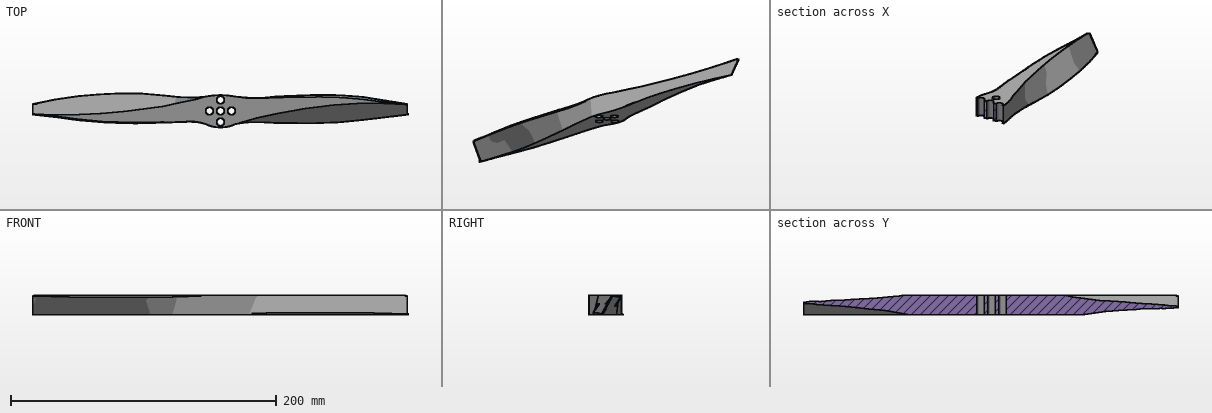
import cadquery as cq

HEIGHT = 15.0
TIP_X = 141.72
TIP_CHAMFER_LENGTH = 2.0
TIP_CHAMFER_HEIGHT = 1.0
RIGHT_TIP_STEP = 0.8
RIGHT_TIP_FOOT = 0.8
HUB_HALF_LENGTH = 11.4
HUB_FRONT_Y = -12.56
HUB_BACK_Y = 12.1
ROOT_FRONT_Y = -9.9
ROOT_BACK_Y = 10.9
HOLE_DIAMETER = 5.6
BOLT_PITCH_RADIUS = 8.3
BOLT_COUNT = 4
LIP = 1.7
LIP_END = 0.7
TRAILING_LIP = 0.4
FIRST_JOINT_X = 43.0
LAST_JOINT_X = 107.0

ROOT_SECTION = (
    HUB_HALF_LENGTH,
    ROOT_FRONT_Y, ROOT_FRONT_Y,
    ROOT_BACK_Y, ROOT_BACK_Y,
    ROOT_BACK_Y, ROOT_FRONT_Y,
)
LEFT_SECTIONS = (
    ROOT_SECTION,
    (19.0, -8.4, -8.0, 8.6, 10.2, 10.2, -7.6),
    (29.0, -8.4, -8.0, 6.6, 10.4, 10.4, -6.0),
    (FIRST_JOINT_X, -8.9, -8.3, 3.5, 11.7, 11.8, -3.8),
    (72.0, -9.4, -8.5, -0.3, 13.2, 13.42, 2.0),
    (90.0, -8.6, -7.9, -1.9, 12.5, 12.7, 4.5),
    (LAST_JOINT_X, -7.1, -6.2, -2.7, 11.1, 11.3, 6.4),
    (125.0, -4.6, -3.9, -2.9, 8.5, 8.7, 6.0),
    (TIP_X, -2.8, -2.7, -2.4, 5.1, 5.2, 4.9),
)
RIGHT_SECTIONS = (
    ROOT_SECTION,
    (20.0, -8.7, -7.2, 9.7, 10.1, 9.6, -8.6),
    (29.0, -8.5, -4.9, 9.5, 9.9, 8.0, -8.3),
    (FIRST_JOINT_X, -9.2, -1.9, 10.1, 11.1, 5.0, -8.5),
    (72.0, -9.3, 3.0, 10.6, 12.2, 0.0, -8.5),
    (90.0, -8.6, 4.9, 10.2, 12.0, -2.5, -8.0),
    (LAST_JOINT_X, -6.9, 5.9, 8.8, 10.7, -3.5, -6.3),
    (125.0, -4.6, 5.6, 6.5, 7.7, -3.0, -4.1),
    (TIP_X, -2.8, 4.8, 5.1, 5.2, -2.4, -2.7),
)


def lip_height(distance):
    """Full height between the panel joints, tapering to the root and the tip."""
    if distance < FIRST_JOINT_X:
        share = (distance - HUB_HALF_LENGTH) / (FIRST_JOINT_X - HUB_HALF_LENGTH)
    elif distance > LAST_JOINT_X:
        share = (TIP_X - distance) / (TIP_X - LAST_JOINT_X)
    else:
        share = 1.0
    return LIP_END + share * (LIP - LIP_END)


def section_wire(section, side, front_lip_z, back_lip_z):
    """Closed six-sided outline in the YZ plane at a section's X."""
    distance, front_lip, top_front, top_back, back_lip, bottom_back, bottom_front = section
    corners = (
        (front_lip, front_lip_z),
        (top_front, HEIGHT),
        (top_back, HEIGHT),
        (back_lip, back_lip_z),
        (bottom_back, 0),
        (bottom_front, 0),
    )
    points = [cq.Vector(side * distance, y, z) for y, z in corners]
    return cq.Wire.makePolygon(points, close=True)


def left_wire(section):
    """Left section: the tall lip hangs from the top face at the front."""
    return section_wire(section, -1, HEIGHT - lip_height(section[0]), TRAILING_LIP)


def right_wire(section):
    """Right section: one lip stands at the front bottom, one hangs at the back top."""
    lip = lip_height(section[0])
    return section_wire(section, 1, lip, HEIGHT - lip)


def blade(sections, make_wire):
    """One blade, lofted in panels that meet at the joints."""
    limits = (HUB_HALF_LENGTH, FIRST_JOINT_X, LAST_JOINT_X, TIP_X)
    panels = cq.Workplane()
    for inner, outer in zip(limits, limits[1:]):
        wires = [make_wire(section) for section in sections if inner <= section[0] <= outer]
        panels = panels.add(cq.Solid.makeLoft(wires))
    return panels.combine()


def tip_bevel(side, tip_x):
    """Cutter for the upper corner of a blade tip, as wide as the hub."""
    return (
        cq.Workplane("XZ", origin=(0, HUB_BACK_Y, 0))
        .moveTo(side * (tip_x - TIP_CHAMFER_LENGTH), HEIGHT)
        .lineTo(side * tip_x, HEIGHT)
        .lineTo(side * tip_x, HEIGHT - TIP_CHAMFER_HEIGHT)
        .close()
        .extrude(HUB_BACK_Y - HUB_FRONT_Y)
    )


def right_tip_step():
    """Cutter that sets the right tip back above its lowest edge."""
    return cq.Workplane("XY").box(
        RIGHT_TIP_STEP, HUB_BACK_Y - HUB_FRONT_Y, HEIGHT - RIGHT_TIP_FOOT, centered=False
    ).translate((TIP_X - RIGHT_TIP_STEP, HUB_FRONT_Y, RIGHT_TIP_FOOT))


def hub():
    """Centre block with a bulged front and a slightly bulged back."""
    return (
        cq.Workplane("XY")
        .moveTo(-HUB_HALF_LENGTH, ROOT_FRONT_Y)
        .threePointArc((0, HUB_FRONT_Y), (HUB_HALF_LENGTH, ROOT_FRONT_Y))
        .lineTo(HUB_HALF_LENGTH, ROOT_BACK_Y)
        .threePointArc((0, HUB_BACK_Y), (-HUB_HALF_LENGTH, ROOT_BACK_Y))
        .close()
        .extrude(HEIGHT)
    )


def mounting_holes():
    """Shaft hole and the bolt holes around it."""
    shaft = cq.Workplane("XY").circle(HOLE_DIAMETER / 2).extrude(HEIGHT)
    bolts = (
        cq.Workplane("XY")
        .polarArray(BOLT_PITCH_RADIUS, 0, 360, BOLT_COUNT)
        .circle(HOLE_DIAMETER / 2)
        .extrude(HEIGHT)
    )
    return shaft.union(bolts)


left_blade = blade(LEFT_SECTIONS, left_wire).cut(tip_bevel(-1, TIP_X))
right_blade = (
    blade(RIGHT_SECTIONS, right_wire)
    .cut(right_tip_step())
    .cut(tip_bevel(1, TIP_X - RIGHT_TIP_STEP))
)
result = hub().union(left_blade).union(right_blade).cut(mounting_holes())